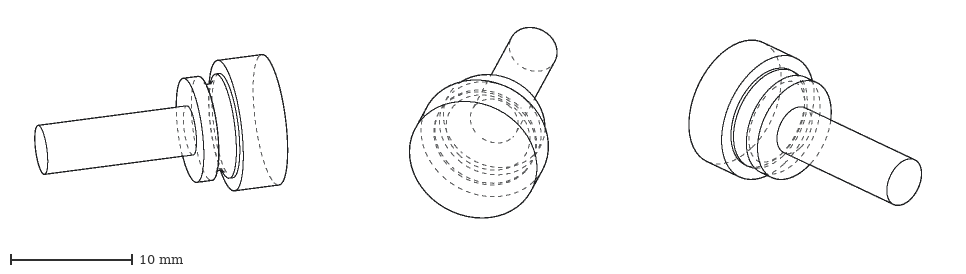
import cadquery as cq

head_diameter = 10.85
collar_diameter = 8.67
pin_diameter = 4.09

total_length = 19.56
head_length = 3.8
land_length = 0.3
groove_radius = 0.75
flange_length = 1.3

head_radius = head_diameter / 2
collar_radius = collar_diameter / 2
pin_radius = pin_diameter / 2

head_start = total_length - head_length
groove_end = head_start - land_length
groove_center = groove_end - groove_radius
groove_start = groove_center - groove_radius
flange_start = groove_start - flange_length

half_section = (
    cq.Workplane("XY")
    .moveTo(0, 0)
    .lineTo(pin_radius, 0)
    .lineTo(pin_radius, flange_start)
    .lineTo(collar_radius, flange_start)
    .lineTo(collar_radius, groove_start)
    .threePointArc((collar_radius - groove_radius, groove_center), (collar_radius, groove_end))
    .lineTo(collar_radius, head_start)
    .lineTo(head_radius, head_start)
    .lineTo(head_radius, total_length)
    .lineTo(0, total_length)
    .close()
)

result = half_section.revolve(360, (0, 0, 0), (0, 1, 0))